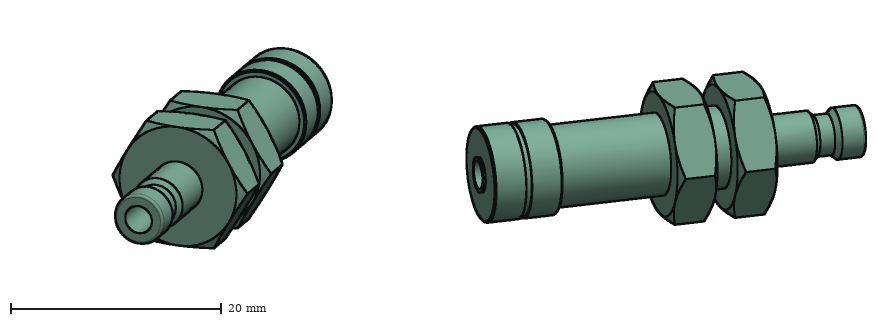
import cadquery as cq
import math

LENGTH = 38.0

ACROSS_FLATS = 12.0
HEX_THICKNESS = 4.0
HEX_CHAMFER_ANGLE = 30.0
COLLAR_START = 10.0
HEX_GAP = 2.0
NUT_START = COLLAR_START + HEX_THICKNESS + HEX_GAP

STEM_RADIUS = 2.5
TIP_FILLET = 0.25
NECK_RADIUS = 2.0
NECK_START = 3.0
NECK_END = 4.5
NECK_FRONT_TAPER = 0.57
NECK_REAR_TAPER = STEM_RADIUS - NECK_RADIUS

TUBE_RADIUS = 4.0
BORE_RADIUS = 1.35

HEAD_RADIUS = 4.65
HEAD_START = 30.97
HEAD_CHAMFER = 0.15
RING_GROOVE_START = 34.05
RING_GROOVE_WIDTH = 0.57
RING_GROOVE_DEPTH = 0.2
BOSS_RADIUS = 1.7
BOSS_HEIGHT = 0.23
HEAD_END = LENGTH - BOSS_HEIGHT


def cylinder(radius, start, end):
    """Solid cylinder along Y between two Y positions."""
    return cq.Workplane("XZ", origin=(0, start, 0)).circle(radius).extrude(start - end)


def chamfered_hexagon(start):
    """Hexagonal prism along Y, its corners turned to a cone at both ends."""
    corner_radius = ACROSS_FLATS / 2 / math.cos(math.pi / 6)
    face_radius = ACROSS_FLATS / 2
    chamfer_depth = (corner_radius - face_radius) * math.tan(math.radians(HEX_CHAMFER_ANGLE))
    end = start + HEX_THICKNESS
    prism = (
        cq.Workplane("XZ", origin=(0, start, 0))
        .polygon(6, 2 * corner_radius)
        .extrude(-HEX_THICKNESS)
    )
    turned_envelope = (
        cq.Workplane("XY")
        .polyline([
            (0, start),
            (face_radius, start),
            (corner_radius, start + chamfer_depth),
            (corner_radius, end - chamfer_depth),
            (face_radius, end),
            (0, end),
        ])
        .close()
        .revolve(360, (0, 0, 0), (0, 1, 0))
    )
    return prism.intersect(turned_envelope)


def make_stem():
    """Stem with a rounded tip and a tapered coupling groove."""
    return (
        cq.Workplane("XY")
        .polyline([
            (0, 0),
            (STEM_RADIUS, 0),
            (STEM_RADIUS, NECK_START - NECK_FRONT_TAPER),
            (NECK_RADIUS, NECK_START),
            (NECK_RADIUS, NECK_END),
            (STEM_RADIUS, NECK_END + NECK_REAR_TAPER),
            (STEM_RADIUS, COLLAR_START),
            (0, COLLAR_START),
        ])
        .close()
        .revolve(360, (0, 0, 0), (0, 1, 0))
        .faces("<Y")
        .edges()
        .fillet(TIP_FILLET)
    )


def make_head():
    """Chamfered head with a ring groove and an end boss."""
    head = cylinder(HEAD_RADIUS, HEAD_START, HEAD_END).edges().chamfer(HEAD_CHAMFER)
    groove_end = RING_GROOVE_START + RING_GROOVE_WIDTH
    groove = cylinder(HEAD_RADIUS, RING_GROOVE_START, groove_end).cut(
        cylinder(HEAD_RADIUS - RING_GROOVE_DEPTH, RING_GROOVE_START, groove_end)
    )
    return head.cut(groove).union(cylinder(BOSS_RADIUS, HEAD_END, LENGTH))


def make_fitting():
    """Stem, hexagonal collar, tube and head in one piece, bored through."""
    tube = cylinder(TUBE_RADIUS, COLLAR_START, HEAD_START)
    fitting = make_stem().union(chamfered_hexagon(COLLAR_START)).union(tube).union(make_head())
    return fitting.cut(cylinder(BORE_RADIUS, 0, LENGTH))


def make_nut():
    """Loose hexagonal nut whose hole fits the tube."""
    hole = cylinder(TUBE_RADIUS, NUT_START, NUT_START + HEX_THICKNESS)
    return chamfered_hexagon(NUT_START).cut(hole)


fitting = make_fitting()
nut = make_nut()

result = cq.Compound.makeCompound([fitting.val(), nut.val()])